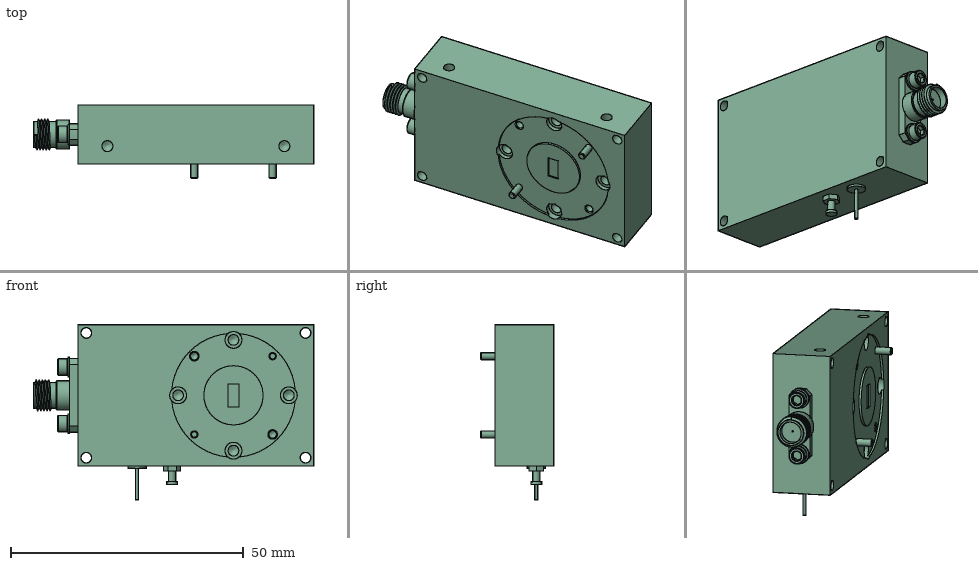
import cadquery as cq
import math


overall_length = 60.3

block_length = 50.8
block_height = 30.45
block_depth = 12.7
waveguide_from_left = 33.5
left_face = -waveguide_from_left
bottom_face = -block_height / 2
top_face = block_height / 2
block_center_x = left_face + block_length / 2

corner_hole_diameter = 2.25
corner_hole_inset = 1.8

drill_tip_angle = 118

top_hole_diameter = 2.35
top_hole_depth = 3.6
top_hole_from_front = 3.85
top_hole_spacing = 38.05

flange_recess_diameter = 26.65
flange_recess_depth = 0.5
flange_boss_diameter = 12.7
waveguide_width = 2.4
waveguide_height = 4.95
waveguide_depth = 0.3
flange_hole_circle = 23.85
flange_screw_hole_diameter = 2.3
flange_screw_hole_depth = 4.8
counterbore_diameter = 3.6
counterbore_depth = 1.45
dowel_diameter = 1.55
dowel_length = 3.1
dowel_hole_diameter = 1.6
dowel_hole_countersink = 2.05
dowel_hole_depth = 3.6
dowel_chamfer = 0.2

terminal_y = 8.9
bias_pin_x = left_face + 12.7
bias_disc_diameter = 4.0
bias_disc_thickness = 0.5
bias_pin_diameter = 0.7
bias_pin_length = 7.25
turret_x = left_face + 20.3
turret_hex_flats = 3.2
turret_hex_height = 1.1
turret_post_diameter = 1.6
turret_head_diameter = 2.35
turret_head_thickness = 0.65
turret_length = 4.0

connector_y = block_depth / 2
connector_length = overall_length - block_length
connector_flange_thickness = 1.8
connector_flange_width = 4.7
connector_corner_z = 6.65
connector_flange_radius = 7.95
connector_end_half_width = 1.1
hub_diameter = 6.35
hub_end = 4.7
hub_chamfer = 0.2
barrel_diameter = 5.6
bore_diameter = 4.7
bore_depth = 1.6
contact_hole_diameter = 0.3
contact_hole_depth = 0.6
thread_diameter = 6.7
thread_pitch = 0.65
thread_start = 6.0
thread_turns = 4.5
thread_root_overlap = 0.05
thread_ridge_width = 0.6

connector_screw_z = 6.1
washer_diameter = 4.2
washer_thickness = 0.35
screw_head_diameter = 3.55
screw_head_height = 2.2
screw_head_chamfer = 0.2
socket_flats = 1.95
socket_depth = 1.2
socket_countersink = 2.3


inward = (0, 1, 0)
outward = (0, -1, 0)
downward = (0, 0, -1)
leftward = (-1, 0, 0)
rightward = (1, 0, 0)


def cylinder(diameter, length, start, direction):
    """Solid cylinder from a start point along a direction."""
    return cq.Workplane(cq.Solid.makeCylinder(diameter / 2, length, cq.Vector(*start), cq.Vector(*direction)))


def drilled_hole(diameter, depth, start, direction):
    """Cutter for a blind hole that ends in a drill-tip cone."""
    tip_height = diameter / 2 / math.tan(math.radians(drill_tip_angle / 2))
    axis = cq.Vector(*direction)
    tip_base = cq.Vector(*start) + axis * depth
    tip = cq.Solid.makeCone(diameter / 2, 0, tip_height, tip_base, axis)
    return cylinder(diameter, depth, start, direction).union(cq.Workplane(tip))


def flange_point(angle):
    """X and Z of a point on the flange hole circle."""
    radius = flange_hole_circle / 2
    return radius * math.cos(math.radians(angle)), radius * math.sin(math.radians(angle))


def corner_width(flats):
    """Width across the corners of a hexagon."""
    return flats / math.cos(math.radians(30))


def countersink(diameter, start, direction):
    """Cutter for a 90-degree countersink."""
    radius = diameter / 2
    return cq.Workplane(cq.Solid.makeCone(radius, 0, radius, cq.Vector(*start), cq.Vector(*direction)))


def make_block():
    """Block with its through holes at the corners and blind holes in the top."""
    block = (
        cq.Workplane()
        .box(block_length, block_depth, block_height)
        .translate((block_center_x, block_depth / 2, 0))
    )
    for side_x in (-1, 1):
        hole_x = block_center_x + side_x * (block_length / 2 - corner_hole_inset)
        for side_z in (-1, 1):
            hole_z = side_z * (block_height / 2 - corner_hole_inset)
            block = block.cut(cylinder(corner_hole_diameter, block_depth, (hole_x, 0, hole_z), inward))
        top_hole_x = block_center_x + side_x * top_hole_spacing / 2
        top_hole_start = (top_hole_x, top_hole_from_front, top_face)
        block = block.cut(drilled_hole(top_hole_diameter, top_hole_depth, top_hole_start, downward))
    return block


def add_waveguide_flange(block):
    """Ring recess around a flush boss, with the waveguide opening, screw holes, dowels and dowel holes."""
    boss = cylinder(flange_boss_diameter, flange_recess_depth, (0, 0, 0), inward)
    ring = cylinder(flange_recess_diameter, flange_recess_depth, (0, 0, 0), inward).cut(boss)
    opening = (
        cq.Workplane()
        .box(waveguide_width, waveguide_depth, waveguide_height)
        .translate((0, waveguide_depth / 2, 0))
    )
    block = block.cut(ring).cut(opening)
    for angle in (0, 90, 180, 270):
        x, z = flange_point(angle)
        block = block.cut(cylinder(counterbore_diameter, counterbore_depth, (x, 0, z), inward))
        block = block.cut(drilled_hole(flange_screw_hole_diameter, flange_screw_hole_depth, (x, 0, z), inward))
    for angle in (135, 315):
        x, z = flange_point(angle)
        block = block.cut(drilled_hole(dowel_hole_diameter, dowel_hole_depth, (x, 0, z), inward))
        block = block.cut(countersink(dowel_hole_countersink, (x, flange_recess_depth, z), inward))
    for angle in (45, 225):
        x, z = flange_point(angle)
        dowel_start = (x, flange_recess_depth, z)
        dowel = cylinder(dowel_diameter, flange_recess_depth + dowel_length, dowel_start, outward)
        block = block.union(dowel.faces("<Y").chamfer(dowel_chamfer))
    return block


def make_turret():
    """Solder turret: hexagonal base, post and disc head."""
    start = (turret_x, terminal_y, bottom_face)
    base = (
        cq.Workplane()
        .polygon(6, corner_width(turret_hex_flats))
        .extrude(-turret_hex_height)
        .translate(start)
    )
    post = cylinder(turret_post_diameter, turret_length, start, downward)
    head_top = bottom_face - turret_length + turret_head_thickness
    head = cylinder(turret_head_diameter, turret_head_thickness, (turret_x, terminal_y, head_top), downward)
    return base.union(post).union(head)


def make_bias_pin():
    """Feedthrough pin with a disc against the bottom of the block."""
    start = (bias_pin_x, terminal_y, bottom_face)
    disc = cylinder(bias_disc_diameter, bias_disc_thickness, start, downward)
    return disc.union(cylinder(bias_pin_diameter, bias_pin_length, start, downward))


def on_connector(distance, z=0):
    """Point at a distance left of the block, on the connector axis or above it."""
    return (left_face - distance, connector_y, z)


def make_connector_flange():
    """Plate with chamfered corners and ends rounded about the connector axis."""
    side = connector_flange_width / 2
    end_z = connector_flange_radius
    arc_end_z = math.sqrt(connector_flange_radius**2 - connector_end_half_width**2)
    return (
        cq.Workplane("YZ", origin=on_connector(0))
        .moveTo(side, -connector_corner_z)
        .lineTo(side, connector_corner_z)
        .lineTo(connector_end_half_width, arc_end_z)
        .threePointArc((0, end_z), (-connector_end_half_width, arc_end_z))
        .lineTo(-side, connector_corner_z)
        .lineTo(-side, -connector_corner_z)
        .lineTo(-connector_end_half_width, -arc_end_z)
        .threePointArc((0, -end_z), (connector_end_half_width, -arc_end_z))
        .close()
        .extrude(-connector_flange_thickness)
    )


def make_thread():
    """Helical ridge of triangular section around the barrel."""
    root_radius = barrel_diameter / 2 - thread_root_overlap
    half_width = thread_ridge_width / 2
    helix = cq.Wire.makeHelix(thread_pitch, thread_turns * thread_pitch, root_radius)
    ridge = (
        cq.Workplane("XZ")
        .moveTo(root_radius, -half_width)
        .lineTo(thread_diameter / 2, 0)
        .lineTo(root_radius, half_width)
        .close()
        .sweep(cq.Workplane(helix), isFrenet=True)
    )
    ridge = ridge.rotate((0, 0, 0), (0, 0, 1), 180)
    return ridge.rotate((0, 0, 0), (0, 1, 0), -90).translate(on_connector(thread_start))


def make_connector_screw(z):
    """Socket-head screw on its washer."""
    washer = cylinder(washer_diameter, washer_thickness, on_connector(connector_flange_thickness, z), leftward)
    head_start = connector_flange_thickness + washer_thickness
    head = cylinder(screw_head_diameter, screw_head_height, on_connector(head_start, z), leftward)
    head = head.faces("<X or >X").chamfer(screw_head_chamfer)
    socket = (
        cq.Workplane("YZ", origin=on_connector(head_start + screw_head_height, z))
        .polygon(6, socket_flats, circumscribed=True)
        .extrude(socket_depth)
    )
    mouth = countersink(socket_countersink, on_connector(head_start + screw_head_height, z), rightward)
    return washer.union(head).cut(socket).cut(mouth)


def make_connector():
    """Flange-mounted threaded connector with its two screws."""
    base = on_connector(connector_flange_thickness)
    hub = cylinder(hub_diameter, hub_end - connector_flange_thickness, base, leftward)
    hub = hub.faces("<X").chamfer(hub_chamfer)
    barrel = cylinder(barrel_diameter, connector_length - connector_flange_thickness, base, leftward)
    body = make_connector_flange().union(hub).union(barrel).union(make_thread())
    for z in (-connector_screw_z, connector_screw_z):
        body = body.union(make_connector_screw(z))
    bore_floor = connector_length - bore_depth
    body = body.cut(cylinder(bore_diameter, bore_depth, on_connector(bore_floor), leftward))
    contact_start = on_connector(bore_floor - contact_hole_depth)
    return body.cut(cylinder(contact_hole_diameter, contact_hole_depth, contact_start, leftward))


housing = add_waveguide_flange(make_block()).union(make_turret())
connector = make_connector()
bias_pin = make_bias_pin()

result = cq.Compound.makeCompound([housing.val(), connector.val(), bias_pin.val()])